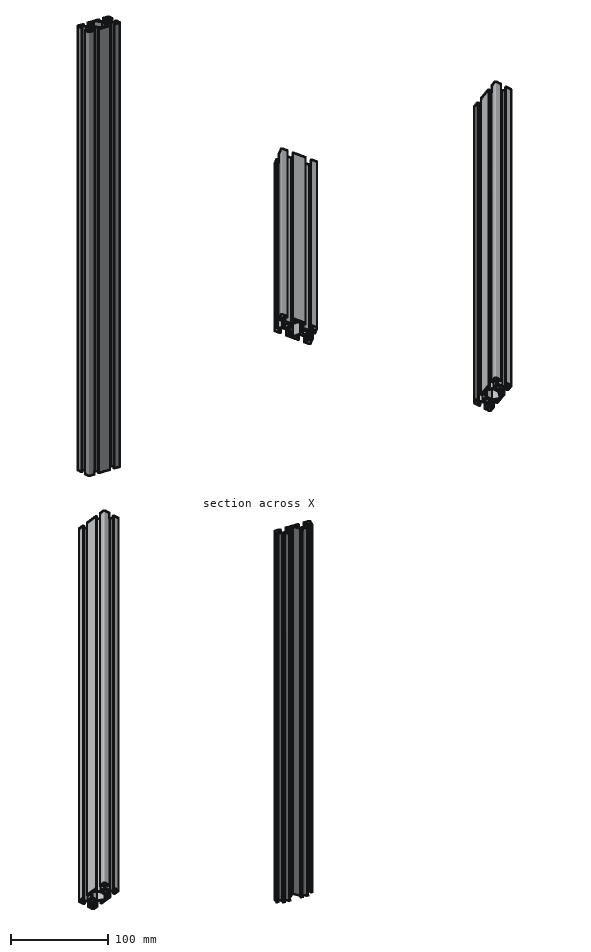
import cadquery as cq
import math

cell = 20.0
cell_count = 2
length = 500.0

slot_opening = 6.0
slot_inner_width = 11.9
lip_thickness = 1.8

core_width = 8.0
bore_diameter = 4.2
web_thickness = 1.5

cavity_wall = 1.5
corner_radius = 1.0

half_cell = cell / 2
half_core = core_width / 2
half_inner = slot_inner_width / 2
lip_depth = half_cell - lip_thickness
web_offset = web_thickness / math.sqrt(2)
cell_centres = [(i - (cell_count - 1) / 2) * cell for i in range(cell_count)]


def prism(points):
    """Full-length prism over a closed outline."""
    return cq.Workplane("XY").polyline(points).close().extrude(length)


def t_slot(angle, centre_y):
    """Slot cutter for the +X face of a cell, turned about the cell axis."""
    half_opening = slot_opening / 2
    half_floor = half_core - web_offset
    upper = [
        (half_core, half_floor),
        (half_inner + web_offset, half_inner),
        (lip_depth, half_inner),
        (lip_depth, half_opening),
        (half_cell, half_opening),
    ]
    lower = [(x, -y) for x, y in reversed(upper)]
    cutter = prism(upper + lower)
    return cutter.rotate((0, 0, 0), (0, 0, 1), angle).translate((0, centre_y, 0))


def central_cavity():
    """Closed channel between the two cores, bounded by their webs and the side walls."""
    half_height = half_cell - half_core
    half_flat = half_core - web_offset
    half_width = half_cell - cavity_wall
    side_half_height = half_height + half_flat - half_width
    upper = [
        (half_width, side_half_height),
        (half_flat, half_height),
        (-half_flat, half_height),
        (-half_width, side_half_height),
    ]
    lower = [(x, -y) for x, y in reversed(upper)]
    return prism(upper + lower)


def core_bores():
    """Round bores through the middle of each core."""
    places = [(0, y) for y in cell_centres]
    return cq.Workplane("XY").pushPoints(places).circle(bore_diameter / 2).extrude(length)


result = cq.Workplane("XY").box(cell, cell * cell_count, length, centered=(True, True, False))
result = result.edges("|Z").fillet(corner_radius)

for y in cell_centres:
    for side_angle in (0, 180):
        result = result.cut(t_slot(side_angle, y))

result = result.cut(t_slot(-90, cell_centres[0]))
result = result.cut(t_slot(90, cell_centres[-1]))

result = result.cut(central_cavity())
result = result.cut(core_bores())